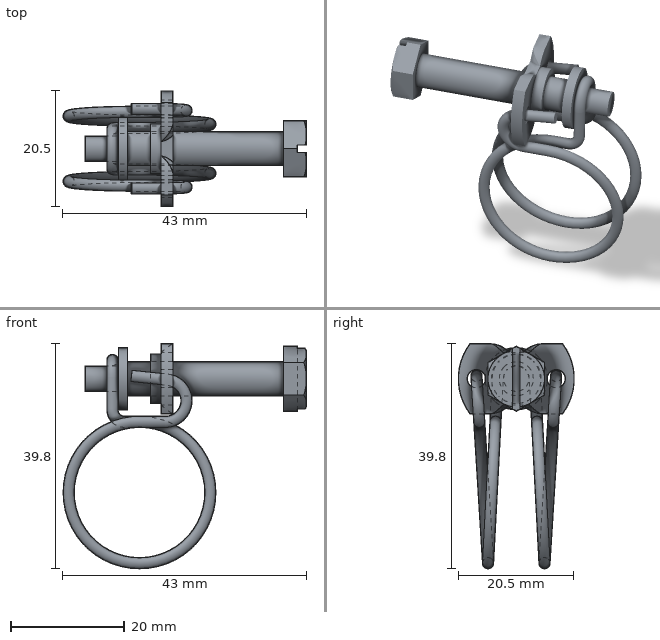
import cadquery as cq
import math


shank_radius = 3.0
tip_radius = 2.25
tip_end_x = -9.58
flange_radius = 5.5
flange_thickness = 1.65
flange_x = -3.75
head_x = 25.4
head_end_x = 29.45
head_across_flats = 9.95
head_face_radius = 5.0
head_chamfer_angle = 30
slot_width = 1.3
slot_depth = 1.6

plate_x = 3.82
plate_thickness = 2.05
plate_end_x = plate_x + plate_thickness
plate_radius = 10.245
plate_half_height = 6.2
collar_radius = 4.4
collar_length = 1.85
wire_hole_radius = 1.6
wire_hole_y = 7.05
notch_start_y = 4.7
notch_floor_y = 1.25
notch_floor_z = 4.65
relief_x = 3.0
relief_y = 5.2
relief_floor_radius = 4.05
relief_rim_radius = 3.0

wire_radius = 1.0
ring_radius = 12.5
ring_bottom_z = -32.55
ring_bottom_y = 5.0
tail_y = 7.0
tail_end_x = -1.4
tail_angle = 6
tail_bend_radius = 3.75
tail_bend_x = 4.55
hook_radius = 3.25
hook_z = 0.05
hook_clearance = 0.05
hook_x = flange_x - wire_radius - hook_clearance
hook_corner_radius = 2.1


def cylinder_x(radius, start_x, length):
    return cq.Workplane("YZ", origin=(start_x, 0, 0)).circle(radius).extrude(length)


def make_head():
    length = head_end_x - head_x
    corner_radius = head_across_flats / math.sqrt(3)
    head = (
        cq.Workplane("YZ", origin=(head_x, 0, 0))
        .transformed(rotate=(0, 0, 90))
        .polygon(6, 2 * corner_radius)
        .extrude(length)
    )
    bevel_width = corner_radius - head_face_radius
    bevel_depth = bevel_width * math.tan(math.radians(head_chamfer_angle))
    bevelled_disc = (
        cq.Workplane("XY")
        .moveTo(head_x, 0)
        .lineTo(head_x, corner_radius)
        .lineTo(head_end_x - bevel_depth, corner_radius)
        .lineTo(head_end_x, head_face_radius)
        .lineTo(head_end_x, 0)
        .close()
        .revolve(360, (0, 0, 0), (1, 0, 0))
    )
    slot = cq.Workplane("XY").box(2 * slot_depth, slot_width, 3 * corner_radius)
    return head.intersect(bevelled_disc).cut(slot.translate((head_end_x, 0, 0)))


def make_screw():
    tip = cylinder_x(tip_radius, tip_end_x, flange_x - tip_end_x)
    flange = cylinder_x(flange_radius, flange_x, flange_thickness)
    shank = cylinder_x(shank_radius, flange_x, head_x - flange_x)
    return tip.union(flange).union(shank).union(make_head())


def plate_notch():
    """Trough in the top edge, with convex sides, open through the thickness."""
    run = notch_start_y - notch_floor_y
    drop = plate_half_height - notch_floor_z
    side_radius = (run**2 + drop**2) / (2 * drop)
    mid_angle = math.asin(run / side_radius) / 2
    mid_y = notch_start_y - side_radius * math.sin(mid_angle)
    mid_z = plate_half_height - side_radius * (1 - math.cos(mid_angle))
    return (
        cq.Workplane("YZ", origin=(plate_x, 0, 0))
        .moveTo(-notch_start_y, plate_half_height)
        .threePointArc((-mid_y, mid_z), (-notch_floor_y, notch_floor_z))
        .lineTo(notch_floor_y, notch_floor_z)
        .threePointArc((mid_y, mid_z), (notch_start_y, plate_half_height))
        .close()
        .extrude(plate_thickness)
    )


def notch_relief():
    """Space above the notch floor that lies between the two conical flanks."""
    depth = plate_half_height - notch_floor_z
    relief = cq.Workplane("XY").box(
        plate_thickness, 2 * relief_y, depth, centered=(False, True, False)
    )
    relief = relief.translate((plate_x, 0, notch_floor_z))
    for side in (-1, 1):
        flank = cq.Solid.makeCone(
            relief_floor_radius, relief_rim_radius, depth, cq.Vector(relief_x, side * relief_y, notch_floor_z)
        )
        relief = relief.cut(cq.Workplane(flank))
    return relief


def make_nut_plate():
    plate = cylinder_x(plate_radius, plate_x, plate_thickness)
    band = cq.Workplane("XY").box(
        4 * plate_end_x, 2 * plate_radius, 2 * plate_half_height
    )
    plate = plate.intersect(band)
    top_cut = plate_notch().union(notch_relief())
    plate = plate.cut(top_cut).cut(top_cut.mirror("XY"))
    for side in (-1, 1):
        hole = cylinder_x(wire_hole_radius, plate_x, plate_thickness)
        plate = plate.cut(hole.translate((0, side * wire_hole_y, 0)))
    plate = plate.union(cylinder_x(collar_radius, plate_x - collar_length, collar_length))
    return plate.cut(cylinder_x(shank_radius, plate_x - collar_length, collar_length + plate_thickness))


def tilted_plane(tilt):
    """Plane through the ring bottom, leaning outward by the tilt angle; its local y runs upward."""
    normal = (0, -math.cos(tilt), math.sin(tilt))
    return cq.Plane((0, ring_bottom_y, ring_bottom_z), (1, 0, 0), normal)


def outer_edges():
    """Tail, tail bend, straight and the -X half of the ring, all in one leaning plane."""
    plane = tilted_plane(math.atan2(tail_y - ring_bottom_y, -ring_bottom_z))
    ring_top = 2 * ring_radius
    slope = math.radians(tail_angle)
    bend_y = ring_top + tail_bend_radius
    bend_end_x = tail_bend_x + tail_bend_radius * math.sin(slope)
    bend_end_y = bend_y + tail_bend_radius * math.cos(slope)
    tail_end_y = bend_end_y + (bend_end_x - tail_end_x) * math.tan(slope)
    path = (
        cq.Workplane(plane)
        .moveTo(tail_end_x, tail_end_y)
        .lineTo(bend_end_x, bend_end_y)
        .threePointArc((tail_bend_x + tail_bend_radius, bend_y), (tail_bend_x, ring_top))
        .lineTo(0, ring_top)
        .threePointArc((-ring_radius, ring_radius), (0, 0))
    )
    return path.wire().val().Edges()


def inner_edges(tilt, leg_end):
    """+X half of the ring, straight, corner and hook leg, all in one plane leaning inward."""
    plane = tilted_plane(-tilt)
    ring_top = 2 * ring_radius
    corner_x = hook_x + hook_corner_radius
    corner_y = ring_top + hook_corner_radius
    diagonal = hook_corner_radius / math.sqrt(2)
    path = (
        cq.Workplane(plane)
        .moveTo(0, 0)
        .threePointArc((ring_radius, ring_radius), (0, ring_top))
        .lineTo(corner_x, ring_top)
        .threePointArc((corner_x - diagonal, corner_y - diagonal), (hook_x, corner_y))
        .lineTo(hook_x, plane.toLocalCoords(leg_end).y)
    )
    return path.wire().val().Edges()


def make_wire():
    rise = hook_z - ring_bottom_z
    tilt = math.atan2(ring_bottom_y, rise) - math.asin(hook_radius / math.hypot(ring_bottom_y, rise))
    leg_end = cq.Vector(hook_x, hook_radius * math.cos(tilt), hook_z + hook_radius * math.sin(tilt))
    hook_top = cq.Vector(hook_x, 0, hook_z + hook_radius)
    other_leg_end = cq.Vector(hook_x, -leg_end.y, leg_end.z)
    hook = cq.Edge.makeThreePointArc(leg_end, hook_top, other_leg_end)

    half = outer_edges() + inner_edges(tilt, leg_end)
    other_half = [edge.mirror("XZ") for edge in reversed(half)]
    path = cq.Wire.assembleEdges(half + [hook] + other_half)
    section = cq.Plane(path.startPoint(), (0, 1, 0), half[0].tangentAt(0))
    return cq.Workplane(section).circle(wire_radius).sweep(cq.Workplane(path))


screw = make_screw()
nut_plate = make_nut_plate()
clamp_wire = make_wire()
bodies = [screw, nut_plate, clamp_wire]
result = cq.Compound.makeCompound([body.solids().val() for body in bodies])